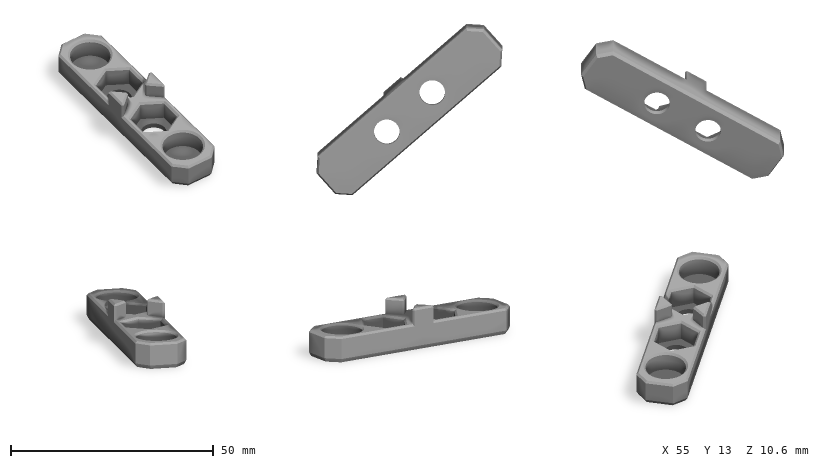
import cadquery as cq
import math

length = 55.0
width = 13.0
bar_height = 6.6
corner_cut = 3.0
edge_chamfer = 0.5
bottom_chamfer_height = 1.0

total_height = 10.6
prong_width = 6.15
prong_face_width = 5.7
prong_corner_depth = 0.6
prong_reach = 3.75
prong_tip_width = 0.6
prong_chamfer = 0.47

pocket_diameter = 10.0
pocket_depth = 5.0
pocket_offset = 20.0

hex_across_flats = 10.0
hex_depth = 5.2
hex_offset = 7.5
hole_diameter = 6.3


def cut_corner_outline(plane, inset):
    """Rectangle with 45 degree cut corners, every side moved inward by inset."""
    half_length = length / 2 - inset
    half_width = width / 2 - inset
    cut = corner_cut - inset * (2 - math.sqrt(2))
    return plane.polyline([
        (half_length, half_width - cut),
        (half_length - cut, half_width),
        (cut - half_length, half_width),
        (-half_length, half_width - cut),
        (-half_length, cut - half_width),
        (cut - half_length, -half_width),
        (half_length - cut, -half_width),
        (half_length, cut - half_width),
    ]).close()


def make_bar():
    """Cut-corner bar with a steep bottom chamfer and a 45 degree top chamfer."""
    bottom = cut_corner_outline(cq.Workplane("XY"), edge_chamfer)
    rim = bottom.workplane(offset=bottom_chamfer_height)
    base = cut_corner_outline(rim, 0).loft(ruled=True)
    upper_plane = cq.Workplane("XY", origin=(0, 0, bottom_chamfer_height))
    upper = cut_corner_outline(upper_plane, 0).extrude(bar_height - bottom_chamfer_height)
    return base.union(upper.faces(">Z").chamfer(edge_chamfer))


def make_front_prong():
    """Upright triangular prong, flush with the -Y side, pointing inward."""
    outer_y = -width / 2
    shoulder_y = outer_y + prong_corner_depth
    tip_y = outer_y + prong_reach
    base_z = bar_height - edge_chamfer
    prong = (
        cq.Workplane("XY", origin=(0, 0, base_z))
        .polyline([
            (-prong_face_width / 2, outer_y),
            (prong_face_width / 2, outer_y),
            (prong_width / 2, shoulder_y),
            (prong_tip_width / 2, tip_y),
            (-prong_tip_width / 2, tip_y),
            (-prong_width / 2, shoulder_y),
        ])
        .close()
        .extrude(total_height - base_z)
    )
    return prong.faces(">Z").chamfer(prong_chamfer)


def pocket_at(x, depth):
    """Workplane on the floor of a pocket centred at x."""
    return cq.Workplane("XY", origin=(x, 0, bar_height - depth))


def make_round_pocket(x):
    """Cutter for a blind round pocket with a chamfered mouth."""
    radius = pocket_diameter / 2
    straight = pocket_at(x, pocket_depth).circle(radius).extrude(pocket_depth)
    mouth = (
        pocket_at(x, edge_chamfer)
        .circle(radius)
        .workplane(offset=edge_chamfer)
        .circle(radius + edge_chamfer)
        .loft(ruled=True)
    )
    return straight.union(mouth)


def make_hex_pocket(x):
    """Cutter for a hexagonal pocket, its chamfered mouth and its through hole."""
    def hexagon(plane, across_flats):
        return plane.polygon(6, across_flats / math.cos(math.pi / 6))

    straight = hexagon(pocket_at(x, hex_depth), hex_across_flats).extrude(hex_depth)
    mouth_start = hexagon(pocket_at(x, edge_chamfer), hex_across_flats)
    mouth_plane = mouth_start.workplane(offset=edge_chamfer)
    mouth = hexagon(mouth_plane, hex_across_flats + 2 * edge_chamfer).loft(ruled=True)
    hole = pocket_at(x, bar_height).circle(hole_diameter / 2).extrude(bar_height)
    return straight.union(mouth).union(hole)


front_prong = make_front_prong()
result = make_bar().union(front_prong).union(front_prong.mirror("XZ"))
for side in (-1, 1):
    result = result.cut(make_round_pocket(side * pocket_offset))
    result = result.cut(make_hex_pocket(side * hex_offset))